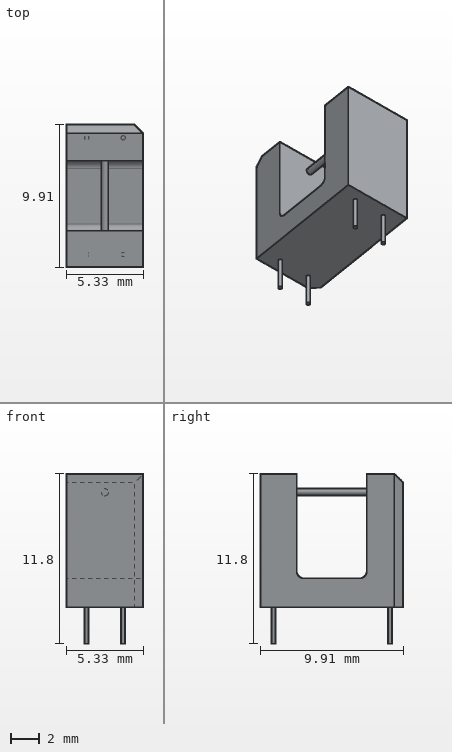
import cadquery as cq

width = 5.33
depth = 9.91
total_height = 11.81
pin_length = 2.54
body_height = total_height - pin_length

tower_thickness = 2.53
slot_width = depth - 2 * tower_thickness
slot_depth = 7.25
slot_fillet = 0.5

bevel = 0.6

rod_diameter = 0.5
rod_drop = 1.26

pin_diameter = 0.3
pin_spacing_x = 2.54
pin_spacing_y = 8.1


def make_body():
    body = cq.Workplane("XY").box(width, depth, body_height, centered=(True, True, False))
    body = body.edges(">Y and >Z").chamfer(bevel)
    body = body.edges("|Z and >X and >Y").chamfer(bevel)
    return body.cut(make_slot())


def make_slot():
    return (
        cq.Workplane("XY")
        .box(width, slot_width, slot_depth, centered=(True, True, False))
        .edges("|X and <Z")
        .fillet(slot_fillet)
        .translate((0, 0, body_height - slot_depth))
    )


def make_rod():
    return (
        cq.Workplane("XZ", origin=(0, slot_width / 2, body_height - rod_drop))
        .circle(rod_diameter / 2)
        .extrude(slot_width)
    )


def make_pins():
    return (
        cq.Workplane("XY")
        .rarray(pin_spacing_x, pin_spacing_y, 2, 2)
        .circle(pin_diameter / 2)
        .extrude(-pin_length)
    )


result = make_body().union(make_rod()).union(make_pins())